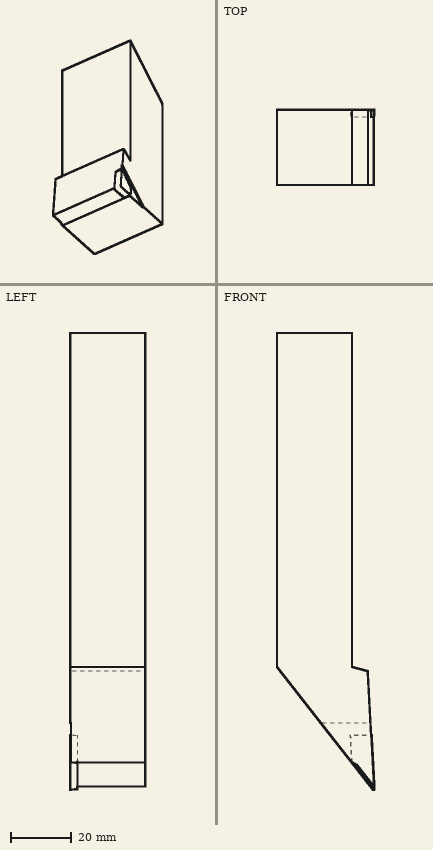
import cadquery as cq
import math

SHANK_SIZE = 25.0
TOOL_LENGTH = 151.4
BEVEL_TOP_Z = 40.7
BEVEL_SLOPE = 1.278
LEDGE_TIP_X = 30.1
LEDGE_TIP_Z = 39.4
SIDE_LEAN = 0.053

RELIEF_DROP = 1.44
RELIEF_RADIUS = 1.44
RAMP_ANGLE = 27.0
RELIEF_TOP_Z = 9.1

RAKE_DEPTH = 0.3
RAKE_TOP_Z = 22.1

INSERT_THICKNESS = 2.4
INSERT_TOP_Z = 18.2
INSERT_PROUD = 0.21
INSERT_HEEL_Z = RELIEF_TOP_Z
NOSE_RADIUS = 0.36
CLEARANCE_ANGLE = 4.0

SEAT_Y = SHANK_SIZE - INSERT_THICKNESS
MARGIN = 7.5


def side_x(z):
    """X of the leaning +X side at height z."""
    return LEDGE_TIP_X + SIDE_LEAN * (LEDGE_TIP_Z - z)


def bevel_x(z):
    """X of the sloping end face at height z."""
    return (BEVEL_TOP_Z - z) / BEVEL_SLOPE


def bevel_side_corner(offset):
    """Corner of the sloping face and the +X side moved outward by offset."""
    foot_x = LEDGE_TIP_X + offset + SIDE_LEAN * LEDGE_TIP_Z
    z = (BEVEL_TOP_Z / BEVEL_SLOPE - foot_x) / (1 / BEVEL_SLOPE - SIDE_LEAN)
    return bevel_x(z), z


def prism(profile, y_start, y_end):
    """Extrude a closed XZ profile from y_start to y_end."""
    return profile.extrude(-(y_end - y_start)).translate((0, y_start, 0))


def make_blank():
    """Square shank with its pointed end and side ledge."""
    outline = [
        (0, TOOL_LENGTH),
        (SHANK_SIZE, TOOL_LENGTH),
        (SHANK_SIZE, BEVEL_TOP_Z),
        (LEDGE_TIP_X, LEDGE_TIP_Z),
        bevel_side_corner(0),
        (0, BEVEL_TOP_Z),
    ]
    return prism(cq.Workplane("XZ").polyline(outline).close(), 0, SHANK_SIZE)


def make_relief_cutter():
    """Strip along the lower sloping face, entered by a ramp and a concave arc."""
    angle = math.atan(BEVEL_SLOPE)
    along_x, along_z = math.cos(angle), -math.sin(angle)
    inward_x, inward_z = math.sin(angle), math.cos(angle)
    depth = RELIEF_DROP * math.cos(angle)
    start_x = bevel_x(RELIEF_TOP_Z)

    def point(along, inward):
        """Point measured down the sloping face and into the body."""
        return (
            start_x + along * along_x + inward * inward_x,
            RELIEF_TOP_Z + along * along_z + inward * inward_z,
        )

    ramp = math.radians(RAMP_ANGLE)
    tangent_length = RELIEF_RADIUS * math.tan(ramp / 2)
    corner_along = depth / math.tan(ramp)
    arc_start = point(
        corner_along - tangent_length * math.cos(ramp),
        depth - tangent_length * math.sin(ramp),
    )
    arc_end_along = corner_along + tangent_length
    arc_middle = point(
        arc_end_along - RELIEF_RADIUS * math.sin(ramp / 2),
        depth - RELIEF_RADIUS * (1 - math.cos(ramp / 2)),
    )
    run_out = RELIEF_TOP_Z + MARGIN
    profile = (
        cq.Workplane("XZ")
        .moveTo(*point(0, 0))
        .lineTo(*arc_start)
        .threePointArc(arc_middle, point(arc_end_along, depth))
        .lineTo(*point(run_out, depth))
        .lineTo(*point(run_out, -MARGIN))
        .lineTo(*point(0, -MARGIN))
        .close()
    )
    return prism(profile, -MARGIN, SHANK_SIZE + MARGIN)


def make_rake_cutter():
    """Shallow cut that lowers the +Y face around the insert."""
    outline = [
        (-MARGIN, RAKE_TOP_Z),
        (LEDGE_TIP_X + MARGIN, RAKE_TOP_Z),
        (LEDGE_TIP_X + MARGIN, -MARGIN),
        (-MARGIN, -MARGIN),
    ]
    profile = cq.Workplane("XZ").polyline(outline).close()
    return prism(profile, SHANK_SIZE - RAKE_DEPTH, SHANK_SIZE + MARGIN)


def make_insert():
    """Thin cutting plate, largest at its +Y cutting face."""
    heel_x = bevel_x(INSERT_HEEL_Z)
    inner_top_x = heel_x - SIDE_LEAN * (INSERT_TOP_Z - INSERT_HEEL_Z)
    outline = [
        (inner_top_x, INSERT_TOP_Z),
        (side_x(INSERT_TOP_Z) + INSERT_PROUD, INSERT_TOP_Z),
        bevel_side_corner(INSERT_PROUD),
        (heel_x, INSERT_HEEL_Z),
    ]
    plate = prism(cq.Workplane("XZ").polyline(outline).close(), SEAT_Y, SHANK_SIZE)
    plate = plate.edges("|Y").edges("<Z").fillet(NOSE_RADIUS)
    return (
        plate.faces(">Y")
        .wires()
        .toPending()
        .workplane(origin=(0, SHANK_SIZE, 0))
        .extrude(-INSERT_THICKNESS, combine=False, taper=CLEARANCE_ANGLE)
    )


insert = make_insert()
shank = (
    make_blank()
    .cut(make_relief_cutter())
    .cut(make_rake_cutter())
    .cut(insert)
)

result = cq.Compound.makeCompound([shank.val(), insert.val()])